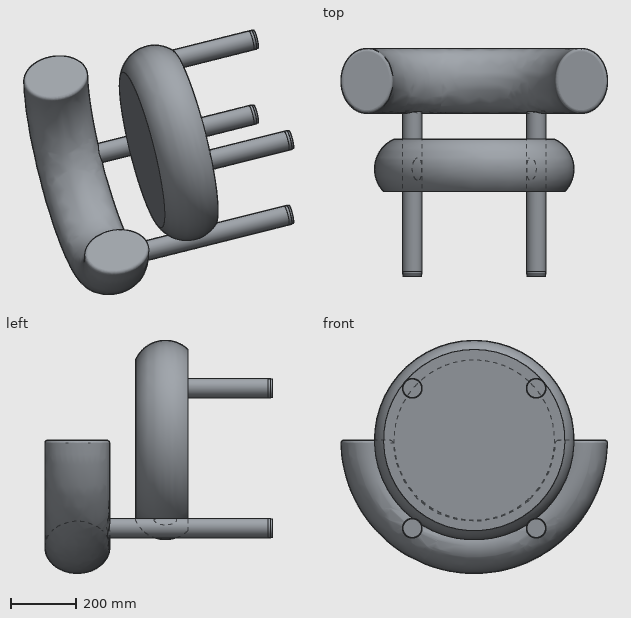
import cadquery as cq
import math

TUBE_HALF_DEPTH = 100.0

BACK_OUTER_RADIUS = 410.0
BACK_TUBE_HALF_WIDTH = 80.0
BACK_PATH_RADIUS = BACK_OUTER_RADIUS - BACK_TUBE_HALF_WIDTH
BACK_END_FILLET = 10.0

SEAT_RADIUS = 306.5
SEAT_RIM_Y = -270.5
SEAT_BACK_Y = -179.0
SEAT_FRONT_Y = -340.0
SEAT_RIM_CENTRE = SEAT_RADIUS - TUBE_HALF_DEPTH

LEG_RADIUS = 30.0
LEG_X = 190.0
FRONT_LEG_Z = 159.0
REAR_LEG_Z = -270.5
FLOOR_Y = TUBE_HALF_DEPTH - 700.0
FOOT_RADIUS = 29.0
FOOT_THICKNESS = 15.0
FOOT_PROJECTION = 6.5
LEG_END_Y = FLOOR_Y + FOOT_PROJECTION
FOOT_INNER_Y = FLOOR_Y + FOOT_THICKNESS


def rod(radius, x, z, y_start, y_end):
    """Cylinder parallel to Y, between two Y positions."""
    length = y_end - y_start
    base = (x, y_start, z)
    return cq.Workplane("XZ", origin=base).circle(radius).extrude(-length)


def make_foot(x, z):
    """Disc that plugs into the end of a leg."""
    return rod(FOOT_RADIUS, x, z, FLOOR_Y, FOOT_INNER_Y)


def make_leg(x, z, y_end):
    """Leg with a recess for its foot."""
    return rod(LEG_RADIUS, x, z, LEG_END_Y, y_end).cut(make_foot(x, z))


def rim_radius(y):
    """Radius of the round seat rim at a given Y."""
    return SEAT_RIM_CENTRE + math.sqrt(TUBE_HALF_DEPTH**2 - (y - SEAT_RIM_Y) ** 2)


def make_seat():
    """Rounded disc, with grooves where the rear legs pass its rim."""
    seat = (
        cq.Workplane("YZ")
        .moveTo(SEAT_FRONT_Y, 0)
        .lineTo(SEAT_FRONT_Y, rim_radius(SEAT_FRONT_Y))
        .threePointArc((SEAT_RIM_Y, SEAT_RADIUS), (SEAT_BACK_Y, rim_radius(SEAT_BACK_Y)))
        .lineTo(SEAT_BACK_Y, 0)
        .close()
        .revolve(360, (0, 0, 0), (1, 0, 0))
    )
    for x in (-LEG_X, LEG_X):
        seat = seat.cut(rod(LEG_RADIUS, x, REAR_LEG_Z, LEG_END_Y, 0))
    return seat


def make_backrest():
    """Half ring with rounded ends, carrying the two rear legs."""
    backrest = (
        cq.Workplane("XY")
        .center(BACK_PATH_RADIUS, 0)
        .ellipse(BACK_TUBE_HALF_WIDTH, TUBE_HALF_DEPTH)
        .revolve(180, (-BACK_PATH_RADIUS, 0), (-BACK_PATH_RADIUS, 1))
        .faces(">Z")
        .edges()
        .fillet(BACK_END_FILLET)
    )
    for x in (-LEG_X, LEG_X):
        backrest = backrest.union(make_leg(x, REAR_LEG_Z, 0))
    return backrest


seat = make_seat()
backrest = make_backrest()
front_legs = [make_leg(x, FRONT_LEG_Z, SEAT_FRONT_Y) for x in (-LEG_X, LEG_X)]
feet = [make_foot(x, z) for x in (-LEG_X, LEG_X) for z in (FRONT_LEG_Z, REAR_LEG_Z)]

result = cq.Compound.makeCompound(
    [seat.solids().val(), backrest.solids().val()]
    + [leg.solids().val() for leg in front_legs]
    + [foot.solids().val() for foot in feet]
)